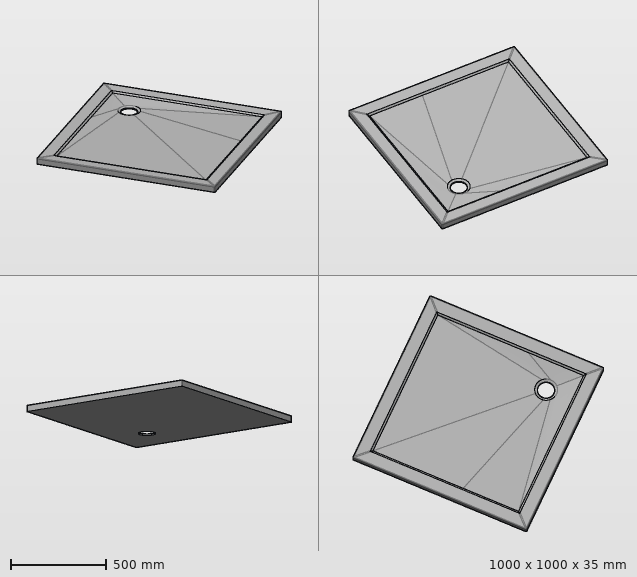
import cadquery as cq
import math

side = 1000.0
height = 35.0
half = side / 2
edge_radius = 5.0
top_edge_radius = 4.0

rim_width = 70.0
rim_drop = 3.0
rim_outer_half = half - edge_radius
rim_inner_half = half - rim_width

step_width = 11.0
step_depth = 8.0
floor_half = rim_inner_half - step_width
step_top = height - rim_drop
floor_top = step_top - step_depth

drain_inset = 230.0
drain_x = drain_inset - half
drain_y = half - drain_inset
drain_radius = 60.0
drain_hole_radius = 45.0
floor_fall = 11.0
drain_top = floor_top - floor_fall
drain_seat_depth = 6.0
drain_bottom = drain_top - drain_seat_depth

crease_y = 100.0
right_crease_angle = 9.0
left_crease_angle = 180.0


def square_frustum(top_half, top_z, bottom_half, bottom_z, corner_radius=0.0):
    """Loft between two centred squares with equally rounded corners."""
    def outline(half_width):
        sketch = cq.Sketch().rect(2 * half_width, 2 * half_width)
        if corner_radius > 0:
            sketch = sketch.vertices().fillet(corner_radius)
        return sketch

    return (
        cq.Workplane("XY", origin=(0, 0, bottom_z))
        .placeSketch(
            outline(bottom_half),
            outline(top_half).moved(cq.Location(cq.Vector(0, 0, top_z - bottom_z))),
        )
        .loft(ruled=True)
    )


def drain_point(angle):
    """Point on the drain's upper circle at an angle in degrees."""
    return cq.Vector(
        drain_x + drain_radius * math.cos(math.radians(angle)),
        drain_y + drain_radius * math.sin(math.radians(angle)),
        drain_top,
    )


def floor_bowl():
    """Solid below the floor edge, bounded by ruled panels falling to the drain."""
    creases = [
        (right_crease_angle, floor_half, crease_y),
        (45.0, floor_half, floor_half),
        (135.0, -floor_half, floor_half),
        (left_crease_angle, -floor_half, crease_y),
        (225.0, -floor_half, -floor_half),
        (315.0, floor_half, -floor_half),
    ]
    panels = []
    arcs = []
    edges = []
    for index, (angle, x, y) in enumerate(creases):
        next_angle, next_x, next_y = creases[(index + 1) % len(creases)]
        if next_angle < angle:
            next_angle += 360.0
        arc = cq.Edge.makeThreePointArc(
            drain_point(angle),
            drain_point((angle + next_angle) / 2),
            drain_point(next_angle),
        )
        edge = cq.Edge.makeLine(cq.Vector(x, y, floor_top), cq.Vector(next_x, next_y, floor_top))
        panels.append(cq.Face.makeRuledSurface(arc, edge))
        arcs.append(arc)
        edges.append(edge)
    drain_face = cq.Face.makeFromWires(cq.Wire.assembleEdges(arcs))
    edge_face = cq.Face.makeFromWires(cq.Wire.assembleEdges(edges))
    shell = cq.Shell.makeShell(panels + [drain_face, edge_face])
    return cq.Workplane(obj=cq.Solid.makeSolid(shell))


def drain_cut():
    """Conical seat above a hole through the base."""
    seat = cq.Solid.makeCone(
        drain_hole_radius, drain_radius, drain_seat_depth, cq.Vector(drain_x, drain_y, drain_bottom)
    )
    hole = cq.Solid.makeCylinder(drain_hole_radius, drain_top, cq.Vector(drain_x, drain_y, 0))
    return cq.Workplane(obj=seat.fuse(hole))


tray = (
    cq.Workplane("XY")
    .rect(side, side)
    .extrude(height)
    .edges("|Z")
    .fillet(edge_radius)
    .faces(">Z")
    .edges()
    .fillet(top_edge_radius)
)
rim_slope = square_frustum(rim_outer_half, height, rim_inner_half, step_top, edge_radius)
step_top_half = rim_inner_half + rim_drop * step_width / step_depth
step = square_frustum(step_top_half, height, floor_half, floor_top)

result = tray.cut(rim_slope).cut(step).cut(floor_bowl()).cut(drain_cut())